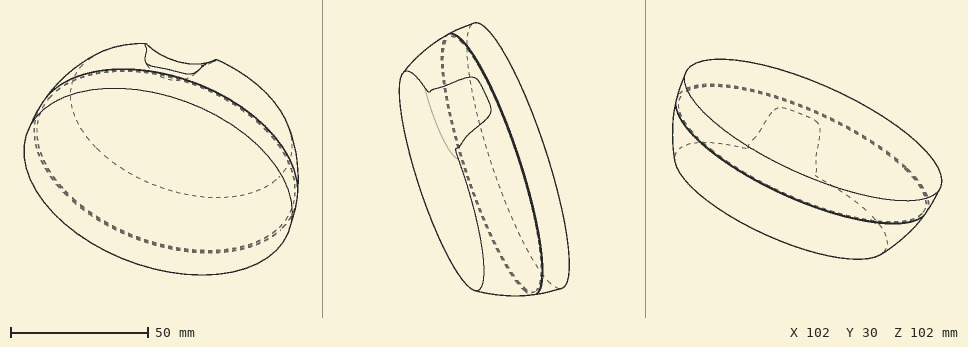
import cadquery as cq
import math

face_radius = 51.0
thickness = 30.0
dome_arc_radius = 55.1

groove_start = 10.0
groove_width = 0.4
groove_depth = 1.0

scoop_axis_z = face_radius
scoop_bottom_y = 13.1
scoop_corner = (9.3, 14.7)
scoop_wall_middle = (11.8, 20.4)
scoop_wall_end = (14.7, 26.0)
scoop_lip_middle = (16.8, 28.8)
scoop_mouth_radius = 20.8
scoop_overrun = 1.0


def dome_radius(y):
    """Radius of the bulged side at distance y from the flat face."""
    return face_radius - dome_arc_radius + math.sqrt(dome_arc_radius**2 - y**2)


def make_body():
    profile = (
        cq.Workplane("XY")
        .lineTo(face_radius, 0)
        .threePointArc(
            (dome_radius(thickness / 2), thickness / 2),
            (dome_radius(thickness), thickness),
        )
        .lineTo(0, thickness)
        .close()
    )
    return profile.revolve(360, (0, 0, 0), (0, 1, 0))


def make_groove():
    floor_radius = dome_radius(groove_start) - groove_depth
    return (
        cq.Workplane("XZ", origin=(0, groove_start, 0))
        .circle(face_radius)
        .circle(floor_radius)
        .extrude(-groove_width)
    )


def make_scoop():
    wall_points = [
        (0, scoop_bottom_y),
        scoop_corner,
        scoop_wall_middle,
        scoop_wall_end,
        scoop_lip_middle,
        (scoop_mouth_radius, thickness),
    ]
    profile = (
        cq.Workplane("XY", origin=(0, 0, scoop_axis_z))
        .spline(wall_points, tangents=[(1, 0), (1, 0)])
        .lineTo(scoop_mouth_radius, thickness + scoop_overrun)
        .lineTo(0, thickness + scoop_overrun)
        .close()
    )
    return profile.revolve(360, (0, 0, 0), (0, 1, 0))


result = make_body().cut(make_groove()).cut(make_scoop())